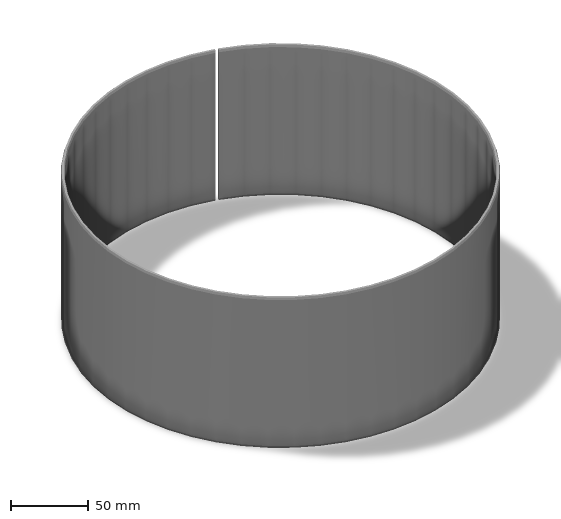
import cadquery as cq

outer_diameter = 285.0
height = 120.0
wall = 2.5
bevel_height = 1.7
bevel_depth = 0.5
split_width = 2.3

outer_radius = outer_diameter / 2
inner_radius = outer_radius - wall

wall_section = [
    (inner_radius + bevel_depth, 0),
    (outer_radius - bevel_depth, 0),
    (outer_radius, bevel_height),
    (outer_radius, height - bevel_height),
    (outer_radius - bevel_depth, height),
    (inner_radius + bevel_depth, height),
    (inner_radius, height - bevel_height),
    (inner_radius, bevel_height),
]
band = cq.Workplane("XZ").polyline(wall_section).close().revolve(360, (0, 0, 0), (0, 1, 0))

split = cq.Workplane("XY").box(outer_radius, split_width, height, centered=False)
split = split.translate((-outer_radius, 0, 0))

result = band.cut(split)